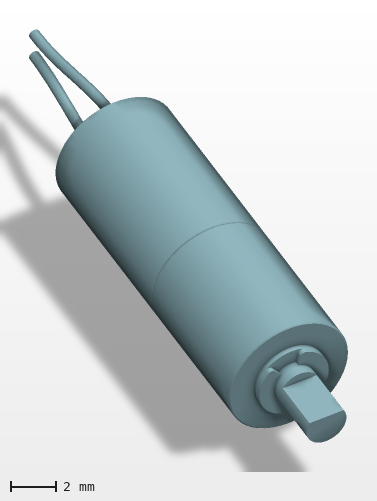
import cadquery as cq
import math

overall_length = 27.07
shaft_reach = 3.5
lead_reach = 7.45
body_length = overall_length - shaft_reach - lead_reach
motor_length = 9.0
gearbox_length = body_length - motor_length

body_diameter = 6.0
edge_chamfer = 0.05

shaft_diameter = 2.0
flat_length = 2.5
flat_height = 0.51

collar_diameter = 3.5
collar_thickness = 0.25
ring_thickness = 0.25
ring_gap_half_angle = 26.0
ring_gap_tilt = 13.5
ring_corner_radius = 0.22

lead_diameter = 0.51
lead_root_height = 2.0
lead_tip_height = 0.68
lead_handle = 2.5
lead_embed = 0.27


def cylinder_along_x(start, length, diameter):
    return cq.Workplane("YZ", origin=(start, 0, 0)).circle(diameter / 2).extrude(length)


def make_body():
    motor = cylinder_along_x(0, motor_length, body_diameter)
    gearbox = cylinder_along_x(motor_length, gearbox_length, body_diameter)
    motor = motor.faces("<X or >X").chamfer(edge_chamfer)
    gearbox = gearbox.faces("<X or >X").chamfer(edge_chamfer)
    return motor.union(gearbox)


def make_shaft():
    shaft = cylinder_along_x(body_length, shaft_reach, shaft_diameter)
    flat_start = body_length + shaft_reach - flat_length
    cutter = (
        cq.Workplane("XY", origin=(flat_start, 0, flat_height))
        .rect(flat_length, shaft_diameter)
        .extrude(shaft_diameter)
        .translate((flat_length / 2, 0, 0))
    )
    return shaft.cut(cutter)


def make_retaining_ring():
    start = body_length + collar_thickness
    ring = cylinder_along_x(start, ring_thickness, collar_diameter)
    wedge_height = collar_diameter
    wedge_half_width = wedge_height * math.tan(math.radians(ring_gap_half_angle))
    wedge = (
        cq.Workplane("YZ", origin=(start, 0, 0))
        .polyline([(0, 0), (wedge_half_width, wedge_height), (-wedge_half_width, wedge_height)])
        .close()
        .extrude(ring_thickness)
    )
    ring = ring.cut(wedge)
    ring = ring.edges("|X").edges(">Z").fillet(ring_corner_radius)
    return ring.rotate((0, 0, 0), (1, 0, 0), ring_gap_tilt)


def make_lead(side):
    root = (0, side * lead_root_height)
    tip = (-lead_reach, side * lead_tip_height)
    tip_handle = (tip[0] + lead_handle, tip[1])
    root_handle = (root[0] - lead_handle, root[1])
    path = (
        cq.Workplane("XZ")
        .bezier([tip, tip_handle, root_handle, root])
        .lineTo(lead_embed, root[1])
    )
    return (
        cq.Workplane("YZ", origin=(tip[0], 0, tip[1]))
        .circle(lead_diameter / 2)
        .sweep(path)
    )


collar = cylinder_along_x(body_length, collar_thickness, collar_diameter)
result = make_body().union(make_shaft()).union(collar).union(make_retaining_ring())
for lead_side in (1, -1):
    result = result.union(make_lead(lead_side))